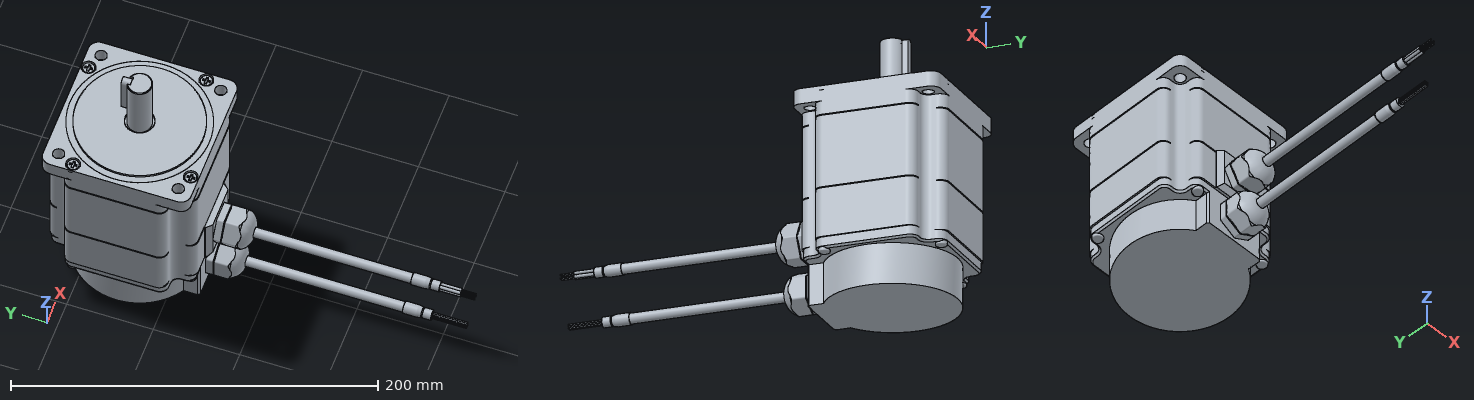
import cadquery as cq
import math


TOTAL_HEIGHT = 155.0
PILOT_TOP = 119.4
FLANGE_TOP = 118.0
FLANGE_BOTTOM = 109.0
FRONT_SEAM = 101.1
REAR_SEAM = 59.0
BODY_BOTTOM = 30.0
PLATE_BOTTOM = 23.7

BODY_HALF = 42.9
PLATE_HALF = 42.0
PLATE_CHAMFER = 1.2
FLANGE_CORNER_RADIUS = 6.0
NOTCH_CENTER = 34.5
NOTCH_RADIUS = 4.7
LOBE_RADIUS = 5.2
SEAM_WIDTH = 0.5
SEAM_DEPTH = 0.2

PILOT_RADIUS = 36.5
FACE_RING_RADIUS = 40.3
FACE_RING_HEIGHT = 0.12
BOLT_HOLE_RADIUS = 3.3

SHAFT_RADIUS = 6.99
SHAFT_CHAMFER = 0.5
SHAFT_CLEARANCE_RADIUS = 8.3
SHAFT_CLEARANCE_DEPTH = 1.5
KEY_WIDTH = 5.2
KEY_LENGTH = 25.0
KEY_FLOOR = 4.62
KEY_TOP = 10.0

SCREW_X = 24.9
SCREW_Y = 38.4
COUNTERBORE_RADIUS = 4.0
COUNTERBORE_DEPTH = 2.4
HEAD_RADIUS = 3.3
HEAD_SINK = 0.5
HEAD_HEIGHT = 1.5
HEAD_ROUND = 0.7
RECESS_LENGTH = 4.3
RECESS_WIDTH = 1.2
RECESS_DEPTH = 1.2

COVER_RADIUS = 38.4
COVER_BLOCK_WIDTH = 40.7

PAD_WIDTH = 30.8
PAD_DEPTH = 3.8
PAD_CHAMFER = 3.0

GLAND_FLATS = 21.8
GLAND_EDGE_ROUND = 1.2
GLAND_LENGTH = 20.0
GLAND_BASE_LENGTH = 4.3
GLAND_GROOVE_WIDTH = 0.5
GLAND_GROOVE_RADIUS = 10.5
NUT_BEVEL_START = 12.8
DOME_START = 14.0
DOME_START_RADIUS = 11.4
DOME_MID = 17.5
DOME_MID_RADIUS = 9.0
DOME_END_RADIUS = 4.3
UPPER_GLAND_Z = 44.5
LOWER_GLAND_Z = 15.0

CABLE_RADIUS = 3.0
SLEEVE_RADIUS = 3.5
SLEEVE_START = 111.0
SLEEVE_END = 119.1
SLEEVE_TAPER_END = 121.5
SLEEVE_GROOVE_WIDTH = 0.7
SLEEVE_GROOVE_RADIUS = 2.8
JACKET_END = 127.2
INSULATION_END = 139.3
WIRE_END = 147.3
INSULATION_RADIUS = 1.02
CORE_RADIUS = 0.43
POWER_WIRE_PITCH = 2.05
SIGNAL_WIRE_RADIUS = 0.43
SIGNAL_WIRE_PITCH = 1.0
WIRE_EMBED = 1.2


def prism(profile, bottom, top):
    return profile.extrude(top - bottom).translate((0, 0, bottom))


def square_block(half, bottom, top):
    return prism(cq.Workplane("XY").rect(2 * half, 2 * half), bottom, top)


def cylinder(radius, bottom, top):
    return prism(cq.Workplane("XY").circle(radius), bottom, top)


def notched_block(half, bottom, top):
    """Square block whose corners are notched around the bolts, with rounded lobes beside each notch."""
    wall = NOTCH_CENTER - NOTCH_RADIUS
    lobe_center = half - LOBE_RADIUS
    lobe_start = wall - LOBE_RADIUS
    diagonal = math.sqrt(0.5)
    lobe_mid_along = lobe_start + LOBE_RADIUS * diagonal
    lobe_mid_out = lobe_center + LOBE_RADIUS * diagonal
    notch_mid = NOTCH_CENTER - NOTCH_RADIUS * diagonal
    outside = half + LOBE_RADIUS
    corner = (
        cq.Workplane("XY")
        .moveTo(lobe_start, half)
        .threePointArc((lobe_mid_along, lobe_mid_out), (wall, lobe_center))
        .lineTo(wall, NOTCH_CENTER)
        .threePointArc((notch_mid, notch_mid), (NOTCH_CENTER, wall))
        .lineTo(lobe_center, wall)
        .threePointArc((lobe_mid_out, lobe_mid_along), (half, lobe_start))
        .lineTo(outside, lobe_start)
        .lineTo(outside, outside)
        .lineTo(lobe_start, outside)
        .close()
    )
    corner_cut = prism(corner, bottom, top)
    block = square_block(half, bottom, top)
    for turn in range(4):
        block = block.cut(corner_cut.rotate((0, 0, 0), (0, 0, 1), 90 * turn))
    return block


def body():
    rear = notched_block(BODY_HALF, BODY_BOTTOM, REAR_SEAM - SEAM_WIDTH)
    middle = notched_block(BODY_HALF, REAR_SEAM, FRONT_SEAM - SEAM_WIDTH)
    front = notched_block(BODY_HALF, FRONT_SEAM, FLANGE_BOTTOM)
    seam_core = notched_block(BODY_HALF - SEAM_DEPTH, BODY_BOTTOM, FLANGE_BOTTOM)
    plate = notched_block(PLATE_HALF, PLATE_BOTTOM, BODY_BOTTOM)
    plate = plate.faces("<Z").edges().chamfer(PLATE_CHAMFER)
    return rear.union(middle).union(front).union(seam_core).union(plate)


def flange():
    block = square_block(BODY_HALF, FLANGE_BOTTOM, FLANGE_TOP).edges("|Z").fillet(FLANGE_CORNER_RADIUS)
    holes = (
        cq.Workplane("XY")
        .rect(2 * NOTCH_CENTER, 2 * NOTCH_CENTER, forConstruction=True)
        .vertices()
        .circle(BOLT_HOLE_RADIUS)
    )
    block = block.union(cylinder(FACE_RING_RADIUS, FLANGE_BOTTOM, FLANGE_TOP + FACE_RING_HEIGHT))
    block = block.union(cylinder(PILOT_RADIUS, FLANGE_BOTTOM, PILOT_TOP))
    block = block.cut(prism(holes, FLANGE_BOTTOM, FLANGE_TOP))
    return block.cut(cylinder(SHAFT_CLEARANCE_RADIUS, PILOT_TOP - SHAFT_CLEARANCE_DEPTH, PILOT_TOP))


def shaft():
    rod = cylinder(SHAFT_RADIUS, FLANGE_BOTTOM, TOTAL_HEIGHT).faces(">Z").chamfer(SHAFT_CHAMFER)
    key_outline = cq.Workplane("XZ").center(0, TOTAL_HEIGHT - KEY_LENGTH / 2)
    key = key_outline.slot2D(KEY_LENGTH, KEY_WIDTH, 90).extrude(-(KEY_TOP - KEY_FLOOR))
    key = key.translate((0, KEY_FLOOR, 0))
    keyway_bottom = TOTAL_HEIGHT - KEY_LENGTH + KEY_WIDTH / 2
    keyway = (
        cq.Workplane("XY")
        .center(0, (KEY_FLOOR + KEY_TOP) / 2)
        .rect(KEY_WIDTH, KEY_TOP - KEY_FLOOR)
    )
    return rod.cut(prism(keyway, keyway_bottom, TOTAL_HEIGHT)).union(key)


def add_screws(motor):
    """Cross-recess heads sunk in the flange and round heads under the rear plate."""
    pocket = cylinder(COUNTERBORE_RADIUS, FLANGE_TOP - COUNTERBORE_DEPTH, FLANGE_TOP + FACE_RING_HEIGHT)
    head_top = FLANGE_TOP - HEAD_SINK
    front_head = cylinder(HEAD_RADIUS, FLANGE_BOTTOM, head_top)
    for length_x, length_y in ((RECESS_LENGTH, RECESS_WIDTH), (RECESS_WIDTH, RECESS_LENGTH)):
        slot = cq.Workplane("XY").rect(length_x, length_y)
        front_head = front_head.cut(prism(slot, head_top - RECESS_DEPTH, head_top))
    rear_head = cylinder(HEAD_RADIUS, PLATE_BOTTOM - HEAD_HEIGHT, BODY_BOTTOM)
    rear_head = rear_head.faces("<Z").edges().fillet(HEAD_ROUND)

    for x, y in (
        (SCREW_X, SCREW_Y),
        (-SCREW_Y, SCREW_X),
        (-SCREW_X, -SCREW_Y),
        (SCREW_Y, -SCREW_X),
    ):
        motor = motor.cut(pocket.translate((x, y, 0)))
        motor = motor.union(front_head.translate((x, y, 0)))
        motor = motor.union(rear_head.translate((x, y, 0)))
    return motor


def rear_cover():
    """Round cover with a flat-faced block, flush with the rear plate, carrying the lower gland."""
    block = (
        cq.Workplane("XY")
        .center(0, -PLATE_HALF / 2)
        .rect(COVER_BLOCK_WIDTH, PLATE_HALF)
        .extrude(PLATE_BOTTOM + PLATE_CHAMFER)
        .edges("|Z and <Y")
        .chamfer(PLATE_CHAMFER)
    )
    return cylinder(COVER_RADIUS, 0, PLATE_BOTTOM).union(block)


def gland_pad():
    depth = BODY_HALF + PAD_DEPTH
    pad = (
        cq.Workplane("XY")
        .center(0, -depth / 2)
        .rect(PAD_WIDTH, depth)
        .extrude(REAR_SEAM - BODY_BOTTOM)
        .translate((0, 0, BODY_BOTTOM))
    )
    bevelled_edges = pad.faces("<Y").edges("|Z or <Z")
    return bevelled_edges.chamfer(PAD_CHAMFER)


def gland(vertex_angle):
    """Hexagonal gland and nut with a domed end, growing along +Z from its foot."""
    corner_radius = GLAND_FLATS / 2 / math.cos(math.pi / 6)
    hexagon = (
        cq.Workplane("XY")
        .polygon(6, 2 * corner_radius)
        .extrude(GLAND_LENGTH)
        .edges("|Z")
        .fillet(GLAND_EDGE_ROUND)
        .rotate((0, 0, 0), (0, 0, 1), vertex_angle)
    )
    envelope = (
        cq.Workplane("XZ")
        .lineTo(corner_radius, 0)
        .lineTo(corner_radius, GLAND_BASE_LENGTH)
        .lineTo(GLAND_GROOVE_RADIUS, GLAND_BASE_LENGTH)
        .lineTo(GLAND_GROOVE_RADIUS, GLAND_BASE_LENGTH + GLAND_GROOVE_WIDTH)
        .lineTo(corner_radius, GLAND_BASE_LENGTH + GLAND_GROOVE_WIDTH)
        .lineTo(corner_radius, NUT_BEVEL_START)
        .lineTo(DOME_START_RADIUS, DOME_START)
        .threePointArc((DOME_MID_RADIUS, DOME_MID), (DOME_END_RADIUS, GLAND_LENGTH))
        .lineTo(0, GLAND_LENGTH)
        .close()
        .revolve(360, (0, 0, 0), (0, 1, 0))
    )
    return hexagon.intersect(envelope)


def cable():
    """Jacketed cable with a crimp sleeve near its end, growing along +Z."""
    groove_end = SLEEVE_TAPER_END + SLEEVE_GROOVE_WIDTH
    return (
        cq.Workplane("XZ")
        .lineTo(CABLE_RADIUS, 0)
        .lineTo(CABLE_RADIUS, SLEEVE_START)
        .lineTo(SLEEVE_RADIUS, SLEEVE_START)
        .lineTo(SLEEVE_RADIUS, SLEEVE_END)
        .lineTo(CABLE_RADIUS, SLEEVE_TAPER_END)
        .lineTo(SLEEVE_GROOVE_RADIUS, SLEEVE_TAPER_END)
        .lineTo(SLEEVE_GROOVE_RADIUS, groove_end)
        .lineTo(CABLE_RADIUS, groove_end)
        .lineTo(CABLE_RADIUS, JACKET_END)
        .lineTo(0, JACKET_END)
        .close()
        .revolve(360, (0, 0, 0), (0, 1, 0))
    )


def wire_bundle(radius, end, pitch, per_side):
    """Square bundle of parallel wires rooted in the end of the cable jacket."""
    bundle = cq.Workplane("XY").rarray(pitch, pitch, per_side, per_side).circle(radius)
    return prism(bundle, JACKET_END - WIRE_EMBED, end)


def power_wires():
    """Four insulated wires, each with a bare core."""
    insulation = wire_bundle(INSULATION_RADIUS, INSULATION_END, POWER_WIRE_PITCH, 2)
    return insulation.union(wire_bundle(CORE_RADIUS, WIRE_END, POWER_WIRE_PITCH, 2))


def signal_wires():
    """Nine thin wires."""
    return wire_bundle(SIGNAL_WIRE_RADIUS, WIRE_END, SIGNAL_WIRE_PITCH, 3)


def cable_exit(wires, vertex_angle, foot_y, height):
    """Gland, cable and wires turned to leave along -Y."""
    upright = gland(vertex_angle).union(cable()).union(wires)
    return upright.rotate((0, 0, 0), (1, 0, 0), 90).translate((0, foot_y, height))


motor = body().union(flange()).union(shaft()).union(rear_cover()).union(gland_pad())
motor = add_screws(motor)
upper_exit = cable_exit(power_wires(), 0, -(BODY_HALF + PAD_DEPTH), UPPER_GLAND_Z)
lower_exit = cable_exit(signal_wires(), 30, -PLATE_HALF, LOWER_GLAND_Z)
result = motor.union(upper_exit).union(lower_exit)